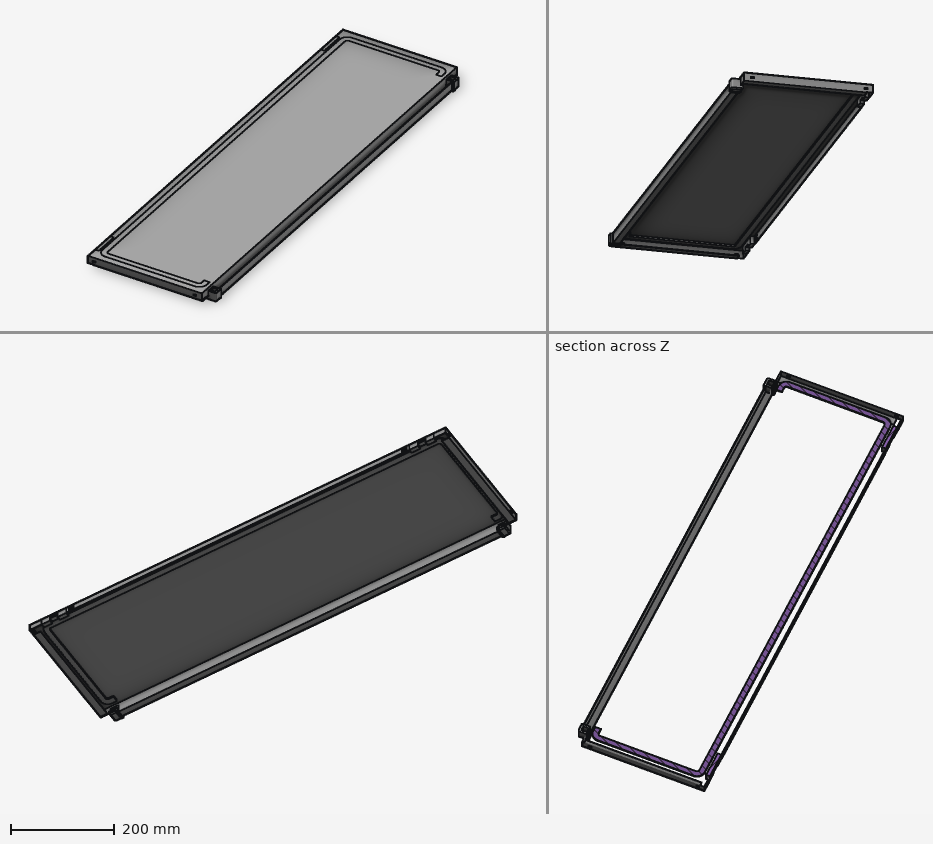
import cadquery as cq

length = 946.0
width = 259.0
overall_width = 277.0
overall_height = 29.0
half = length / 2

sheet = 1.3
bend_radius = 2.4
free_flange_depth = 17.0
end_flange_depth = 19.0
end_lip = 17.0
lip_start = 13.0

gutter_right = 273.0
gutter_bottom = -27.0
gutter_top = -7.0

cap_outer_setback = 23.0
cap_inner_setback = 42.0
cap_left = 254.5
cap_collar = 4.0
cap_collar_step = 1.4
cap_chamfer = 3.0
cap_corner = 4.0
pocket_left = width + sheet
pocket_right = gutter_right - sheet
pocket_wall = 5.0
pocket_floor = -25.0

seat_start = 27.0
seat_end = 83.0
seat_recess = 0.5
seat_pad_right = 9.0
notch_top = -11.0
notch_width = 17.0
notch_center = 55.0
tongue_width = 18.0
tongue_top = -5.0
tongue_slit = 3.0
tongue_slit_depth = 1.0

slit_length = 11.0
slit_height = 1.0
slit_center = 95.0
slit_levels = (-5.0, -10.0)

end_slot_length = 7.0
end_slot_height = 2.4
end_slot_z = -9.9
end_slot_positions = (14.0, 242.0)

gasket_width = 12.0
gasket_height = 4.0
gasket_left = 13.0
gasket_right_setback = 9.0
gasket_end_setback = 16.0
gasket_radius = 17.0
gasket_open_setback = 43.5


def block(x_range, y_range, z_range):
    """Axis-aligned box; each range may be given in either order."""
    (x0, x1), (y0, y1), (z0, z1) = (sorted(r) for r in (x_range, y_range, z_range))
    return cq.Workplane("XY").box(x1 - x0, y1 - y0, z1 - z0, centered=False).translate((x0, y0, z0))


def centered_range(center, size):
    return (center - size / 2, center + size / 2)


def make_tray():
    """Folded sheet with rounded bends, end flanges with inward lips, and a shallower free flange."""
    tray = block((0, width), (-half, half), (-end_flange_depth, 0))
    tray = tray.faces(">Z").edges().fillet(bend_radius)
    tray = tray.edges("<Z and |X").fillet(bend_radius)
    inner_x = (sheet, width - sheet)
    inner_y = (sheet - half, half - sheet)
    lip_reach = half - end_lip
    tray = tray.cut(block(inner_x, inner_y, (sheet - end_flange_depth, -sheet)))
    tray = tray.cut(block(inner_x, (-lip_reach, lip_reach), (-end_flange_depth, -sheet)))
    return tray.cut(block((0, lip_start), (-half, half), (-end_flange_depth, -free_flange_depth)))


def make_gutter():
    """Open channel that continues the +X flange down, out and up."""
    reach = half - cap_inner_setback
    channel = block((width - sheet, gutter_right), (-reach, reach), (gutter_bottom, gutter_top))
    channel = channel.edges("|Y and <Z").fillet(bend_radius)
    return channel.cut(
        block((width, gutter_right - sheet), (-reach, reach), (gutter_bottom + sheet, gutter_top))
    )


def add_latch_seat(door, side):
    """Recessed flange stretch backed by a pad, with a notch and a grooved tongue."""
    seat = (side * (half - seat_start), side * (half - seat_end))
    notch_y = side * (half - notch_center)
    tongue = centered_range(notch_y, tongue_width)
    tongue_middle = (tongue_top + notch_top) / 2
    door = door.union(block((sheet, seat_pad_right), seat, (-free_flange_depth, -sheet)))
    door = door.cut(block((0, seat_recess), seat, (-free_flange_depth, -bend_radius)))
    notch = centered_range(notch_y, notch_width)
    door = door.cut(block((0, seat_pad_right), notch, (-free_flange_depth, notch_top)))
    door = door.union(block((0, sheet), tongue, (notch_top, tongue_top)))
    return door.cut(block((0, tongue_slit_depth), tongue, centered_range(tongue_middle, tongue_slit)))


def cut_vent_slits(door, side):
    """Pair of thin slits through the free flange."""
    slit_y = centered_range(side * (half - slit_center), slit_length)
    for level in slit_levels:
        door = door.cut(block((0, sheet), slit_y, centered_range(level, slit_height)))
    return door


def cut_end_slots(door):
    """Slots through both end flanges."""
    slots = (
        cq.Workplane("XZ", origin=(0, half, end_slot_z))
        .pushPoints([(x, 0) for x in end_slot_positions])
        .slot2D(end_slot_length, end_slot_height)
        .extrude(length)
    )
    return door.cut(slots)


def make_door():
    door = make_tray().union(make_gutter())
    for side in (-1, 1):
        door = add_latch_seat(door, side)
        door = cut_vent_slits(door, side)
    return cut_end_slots(door)


def make_gasket():
    """Rounded strip under the sheet, open along the gutter side."""
    size_x = width - gasket_right_setback - gasket_left
    size_y = length - 2 * gasket_end_setback
    center_x = gasket_left + size_x / 2

    def rounded_plate(inset):
        plate = cq.Workplane("XY", origin=(center_x, 0, -sheet))
        plate = plate.rect(size_x - 2 * inset, size_y - 2 * inset).extrude(-gasket_height)
        return plate.edges("|Z").fillet(gasket_radius - inset)

    ring = rounded_plate(0).cut(rounded_plate(gasket_width))
    reach = half - gasket_open_setback
    return ring.cut(block((center_x, width), (-reach, reach), (-sheet - gasket_height, -sheet)))


def make_end_cap(side):
    """Cap closing one gutter end: a hollow block with a foot under the door flange."""
    outer = side * (half - cap_outer_setback)
    inner = side * (half - cap_inner_setback)
    collar_face = inner + side * cap_collar
    bottom = -overall_height
    body_bottom = bottom + cap_collar_step
    outer_side = ">Y" if side > 0 else "<Y"

    cap = block((cap_left, overall_width), (inner, outer), (body_bottom, gutter_top))
    cap = cap.edges(f"{outer_side} and >X").fillet(cap_corner)
    cap = cap.faces("<Z").edges(f"<X or {outer_side}").chamfer(cap_chamfer)
    collar = block((cap_left, overall_width), (inner, collar_face), (bottom, gutter_top))
    cap = cap.union(collar.edges("|Y and <Z").chamfer(cap_chamfer))

    pocket_y = (inner + side * pocket_wall, outer - side * pocket_wall)
    cap = cap.cut(block((pocket_left, pocket_right), pocket_y, (pocket_floor, gutter_top)))
    return cap.cut(block((cap_left, width), (inner, outer), (-end_flange_depth, gutter_top)))


door = make_door()
gasket = make_gasket()
end_caps = [make_end_cap(side) for side in (-1, 1)]

bodies = [door, gasket, *end_caps]
result = cq.Compound.makeCompound([body.solids().val() for body in bodies])